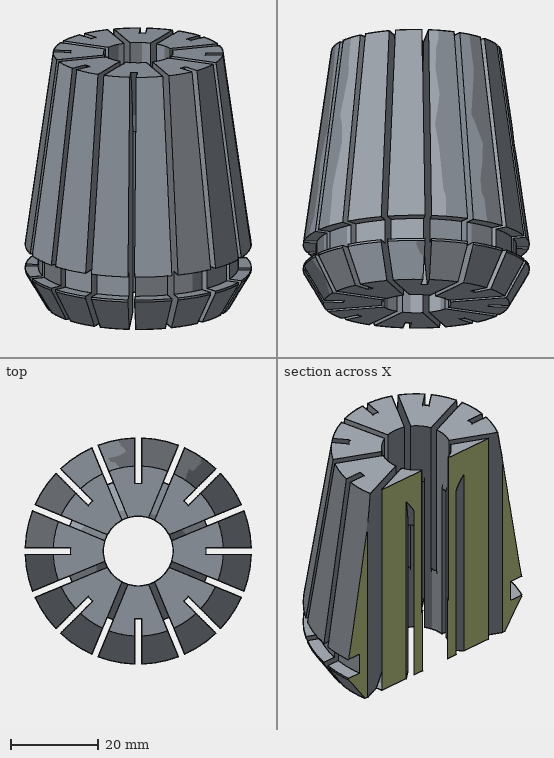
import cadquery as cq
import math

length = 60.0
max_radius = 26.0
bore_radius = 8.0

groove_radius = 23.0
groove_bottom_z = 8.5
groove_top_z = 14.0
rim_bottom_z = 8.0
nose_half_angle = 30.0
taper_half_angle = 8.0

slots_per_end = 8
slot_width = 1.5
saw_radius = 35.0
saw_center_radius = 42.5
bottom_saw_z = 37.65
top_saw_z = 23.75
clearance = 2.0

nose_radius = max_radius - rim_bottom_z * math.tan(math.radians(nose_half_angle))
top_radius = max_radius - (length - groove_top_z) * math.tan(math.radians(taper_half_angle))


def collet_body():
    """Revolved collet: nose cone, rim, groove and long taper around a plain bore."""
    return (
        cq.Workplane("XZ")
        .moveTo(bore_radius, 0)
        .lineTo(nose_radius, 0)
        .lineTo(max_radius, rim_bottom_z)
        .lineTo(max_radius, groove_bottom_z)
        .lineTo(groove_radius, groove_bottom_z)
        .lineTo(groove_radius, groove_top_z)
        .lineTo(max_radius, groove_top_z)
        .lineTo(top_radius, length)
        .lineTo(bore_radius, length)
        .close()
        .revolve(360, (0, 0, 0), (0, 1, 0))
    )


def sawn_slot(depth):
    """Slot along +X from the bottom face up to the saw centre at depth, ending in the saw's arc."""
    root_radius = saw_center_radius - saw_radius
    arc_middle = saw_radius * math.sqrt(0.5)
    return (
        cq.Workplane("XZ")
        .moveTo(root_radius, -clearance)
        .lineTo(root_radius, depth)
        .threePointArc(
            (saw_center_radius - arc_middle, depth + arc_middle),
            (saw_center_radius, depth + saw_radius),
        )
        .lineTo(saw_center_radius, -clearance)
        .close()
        .extrude(slot_width / 2, both=True)
    )


def cut_slots(body):
    """Cut evenly spaced bottom-open slots, with top-open slots midway between them."""
    pitch = 360.0 / slots_per_end
    from_bottom = sawn_slot(bottom_saw_z)
    from_top = sawn_slot(length - top_saw_z).mirror("XY").translate((0, 0, length))
    for index in range(slots_per_end):
        angle = index * pitch
        body = body.cut(from_bottom.rotate((0, 0, 0), (0, 0, 1), angle))
        body = body.cut(from_top.rotate((0, 0, 0), (0, 0, 1), angle + pitch / 2))
    return body


result = cut_slots(collet_body())